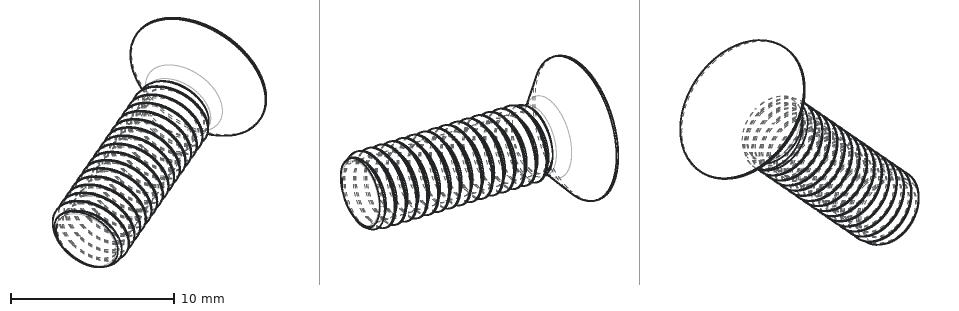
import cadquery as cq
import math


LENGTH = 16.0

HEAD_RADIUS = 4.6
RIM_THICKNESS = 0.15
HEAD_CONE_ANGLE = math.radians(45)
NECK_RADIUS = 2.25
NECK_FILLET = 1.25
NECK_END_DEPTH = 3.27

MAJOR_RADIUS = 2.5
PITCH = 0.8
FLANK_ANGLE = math.radians(30)
CREST_WIDTH = PITCH / 8
ROOT_WIDTH = PITCH / 6
THREAD_DEPTH = (PITCH - CREST_WIDTH - ROOT_WIDTH) / (2 * math.tan(FLANK_ANGLE))
ROOT_RADIUS = MAJOR_RADIUS - THREAD_DEPTH
RIDGE_EMBED = 0.06
RIDGE_START_DEPTH = 2.28
RIDGE_RUN_OUT = 2 * PITCH

END_TAPER_ANGLE = math.radians(30)
TIP_RADIUS = 2.2
ENVELOPE_RADIUS = MAJOR_RADIUS + 0.5
TIP_DISH_RADIUS = 2.06
TIP_DISH_DEPTH = 0.1


def make_head():
    """Head rim, countersunk cone and filleted neck, revolved in one piece."""
    bend = HEAD_CONE_ANGLE
    fillet_radius_start = NECK_RADIUS + NECK_FILLET * (1 - math.cos(bend))
    cone_height = (HEAD_RADIUS - fillet_radius_start) / math.tan(bend)
    fillet_start = RIM_THICKNESS + cone_height
    fillet_end = fillet_start + NECK_FILLET * math.sin(bend)
    fillet_middle = (
        NECK_RADIUS + NECK_FILLET * (1 - math.cos(bend / 2)),
        fillet_end - NECK_FILLET * math.sin(bend / 2),
    )
    return (
        cq.Workplane("XZ")
        .lineTo(HEAD_RADIUS, 0)
        .lineTo(HEAD_RADIUS, RIM_THICKNESS)
        .lineTo(fillet_radius_start, fillet_start)
        .threePointArc(fillet_middle, (NECK_RADIUS, fillet_end))
        .lineTo(NECK_RADIUS, NECK_END_DEPTH)
        .lineTo(0, NECK_END_DEPTH)
        .close()
        .revolve(360, (0, 0), (0, 1))
    )


def make_shank_core():
    """Plain cylinder at the thread root, from the neck to the tip."""
    return (
        cq.Workplane("XY", origin=(0, 0, NECK_END_DEPTH))
        .circle(ROOT_RADIUS)
        .extrude(LENGTH - NECK_END_DEPTH)
    )


def make_thread_envelope():
    """Solid that tapers the thread at the neck and at the tip, clear of the crest between them."""
    taper = math.tan(END_TAPER_ANGLE)
    neck_taper_end = NECK_END_DEPTH + (ENVELOPE_RADIUS - NECK_RADIUS) / taper
    tip_taper_start = LENGTH - (ENVELOPE_RADIUS - TIP_RADIUS) / taper
    return (
        cq.Workplane("XZ")
        .moveTo(0, NECK_END_DEPTH)
        .lineTo(NECK_RADIUS, NECK_END_DEPTH)
        .lineTo(ENVELOPE_RADIUS, neck_taper_end)
        .lineTo(ENVELOPE_RADIUS, tip_taper_start)
        .lineTo(TIP_RADIUS, LENGTH)
        .lineTo(0, LENGTH)
        .close()
        .revolve(360, (0, 0), (0, 1))
    )


def make_thread_ridge():
    """Right-handed helical ridge that runs past both ends of the shank and is rooted in the core."""
    base_radius = ROOT_RADIUS - RIDGE_EMBED
    half_crest = CREST_WIDTH / 2
    half_base = half_crest + (MAJOR_RADIUS - base_radius) * math.tan(FLANK_ANGLE)
    ridge_height = LENGTH + RIDGE_RUN_OUT - RIDGE_START_DEPTH
    start = cq.Vector(0, 0, RIDGE_START_DEPTH)
    helix = cq.Wire.makeHelix(PITCH, ridge_height, base_radius, center=start)
    return (
        cq.Workplane("XZ", origin=start)
        .moveTo(base_radius, -half_base)
        .lineTo(MAJOR_RADIUS, -half_crest)
        .lineTo(MAJOR_RADIUS, half_crest)
        .lineTo(base_radius, half_base)
        .close()
        .sweep(cq.Workplane(helix), isFrenet=True)
    )


def make_tip_dish():
    """Shallow cone that hollows the tip face."""
    return (
        cq.Workplane("XZ")
        .moveTo(0, LENGTH)
        .lineTo(TIP_DISH_RADIUS, LENGTH)
        .lineTo(0, LENGTH - TIP_DISH_DEPTH)
        .close()
        .revolve(360, (0, 0), (0, 1))
    )


thread = make_thread_ridge().intersect(make_thread_envelope())
shank = make_shank_core().union(thread).cut(make_tip_dish())
screw = make_head().union(shank)
result = screw.rotate((0, 0, 0), (1, 0, 0), 90)